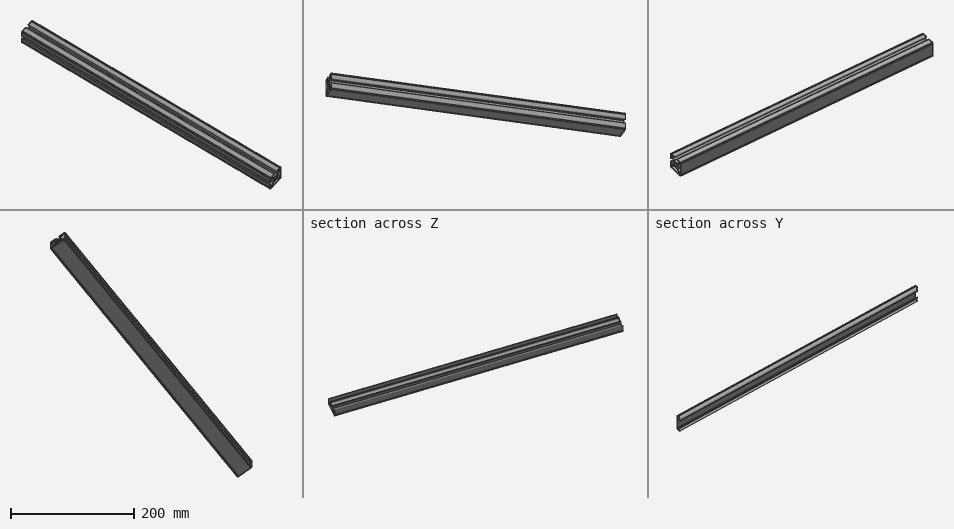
import cadquery as cq
import math

length = 500.0
side = 30.0
corner_radius = 2.75
inner_radius = 2.0
wall = 1.2
rib_thickness = 2.0
core_side = 12.0
bore_diameter = 6.5
slot_width = 6.0
lip_radius = 1.0

half_side = side / 2


def prism(sketch):
    """Extrude a YZ sketch over the full length, centred on X."""
    return sketch.extrude(length / 2, both=True)


def square_bar(width):
    """Square bar running the full length along X."""
    return prism(cq.Workplane("YZ").rect(width, width))


def outer_tube():
    """Square tube with rounded corners outside and inside."""
    outside = square_bar(side).edges("|X").fillet(corner_radius)
    cavity = square_bar(side - 2 * wall).edges("|X").fillet(inner_radius)
    return outside.cut(cavity)


def diagonal_rib(angle):
    """Web joining two opposite corners; its ends lie inside the rounded corner walls."""
    corner_centre_distance = math.sqrt(2) * (half_side - corner_radius)
    rib_length = 2 * (corner_centre_distance + corner_radius - wall / 2)
    rib = prism(cq.Workplane("YZ").rect(rib_length, rib_thickness))
    return rib.rotate((0, 0, 0), (1, 0, 0), angle)


def top_slot():
    """Opening through the +Z wall with rounded outer lips."""
    half_slot = slot_width / 2
    half_mouth = half_slot + lip_radius
    lip_bottom = half_side - lip_radius
    arc_offset = lip_radius * math.sqrt(0.5)
    middle_y = half_mouth - arc_offset
    middle_z = lip_bottom + arc_offset
    outline = (
        cq.Workplane("YZ")
        .moveTo(-half_slot, half_side - wall)
        .lineTo(half_slot, half_side - wall)
        .lineTo(half_slot, lip_bottom)
        .threePointArc((middle_y, middle_z), (half_mouth, half_side))
        .lineTo(-half_mouth, half_side)
        .threePointArc((-middle_y, middle_z), (-half_slot, lip_bottom))
        .close()
    )
    return prism(outline)


result = outer_tube()
for rib_angle in (45, -45):
    result = result.union(diagonal_rib(rib_angle))
result = result.union(square_bar(core_side))
result = result.cut(prism(cq.Workplane("YZ").circle(bore_diameter / 2)))

for slot_angle in (0, 90):
    result = result.cut(top_slot().rotate((0, 0, 0), (1, 0, 0), slot_angle))